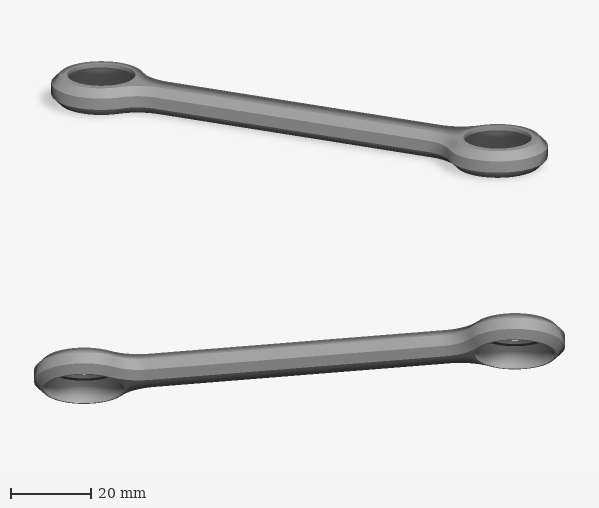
import cadquery as cq
import math

length = 135.0
ring_diameter = 25.0
hole_diameter = 17.0
bore_diameter = 20.0
lip_thickness = 1.0
bar_width = 9.0
thickness = 7.0
blend_radius = 10.0
edge_chamfer = 2.0

ring_radius = ring_diameter / 2
ring_center_x = length / 2 - ring_radius
bar_half_width = bar_width / 2

blend_center_y = bar_half_width + blend_radius
center_distance = ring_radius + blend_radius
blend_reach = math.sqrt(center_distance**2 - blend_center_y**2)
bar_end_x = ring_center_x - blend_reach
tangent_x = ring_center_x - blend_reach * ring_radius / center_distance
tangent_y = blend_center_y * ring_radius / center_distance

blend_half_angle = math.atan2(blend_reach, blend_center_y) / 2
blend_mid_x = bar_end_x + blend_radius * math.sin(blend_half_angle)
blend_mid_y = blend_center_y - blend_radius * math.cos(blend_half_angle)


def link_blank():
    """Bar with a round eye at each end, centred on the mid plane."""
    return (
        cq.Workplane("XY")
        .workplane(offset=-thickness / 2)
        .moveTo(-bar_end_x, bar_half_width)
        .lineTo(bar_end_x, bar_half_width)
        .threePointArc((blend_mid_x, blend_mid_y), (tangent_x, tangent_y))
        .threePointArc((length / 2, 0), (tangent_x, -tangent_y))
        .threePointArc((blend_mid_x, -blend_mid_y), (bar_end_x, -bar_half_width))
        .lineTo(-bar_end_x, -bar_half_width)
        .threePointArc((-blend_mid_x, -blend_mid_y), (-tangent_x, -tangent_y))
        .threePointArc((-length / 2, 0), (-tangent_x, tangent_y))
        .threePointArc((-blend_mid_x, blend_mid_y), (-bar_end_x, bar_half_width))
        .close()
        .extrude(thickness)
    )


def eye_cylinders(diameter, bottom_z, height):
    """A matching pair of cylinders, one on the axis of each eye."""
    return (
        cq.Workplane("XY")
        .workplane(offset=bottom_z)
        .pushPoints([(-ring_center_x, 0), (ring_center_x, 0)])
        .circle(diameter / 2)
        .extrude(height)
    )


chamfered_link = link_blank().faces("|Z").edges().chamfer(edge_chamfer)

through_holes = eye_cylinders(hole_diameter, -thickness / 2, thickness)
lower_bores = eye_cylinders(bore_diameter, -thickness / 2, thickness - lip_thickness)

result = chamfered_link.cut(through_holes).cut(lower_bores)